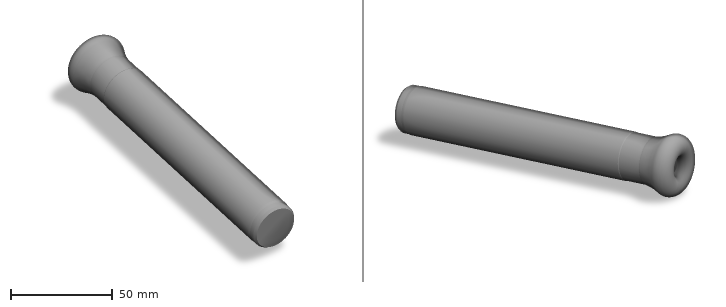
import cadquery as cq
import math

total_length = 160.0
large_radius = 25.0 / 2
small_radius = 24.5 / 2

knob_radius = 16.0
rim_radius = 5.84
rim_center_radius = knob_radius - rim_radius
dimple_floor_radius = rim_center_radius - rim_radius
rim_end = 8.6
flare_end = 17.0

front_taper_end = 18.0
collar_end = 29.6

shaft_taper_end = 30.0
rear_taper_start = 154.2
rear_taper_end = 155.7
end_chamfer_length = 1.5
end_chamfer_depth = 1.0


def revolve_about_x(profile):
    """Turn a closed half profile (X along the axis, Y as radius) into a solid."""
    return profile.revolve(360, (0, 0, 0), (1, 0, 0))


def make_knob():
    """Knob with its dimple, a flare tangent to the rim, and the collar."""
    rim_end_radius = rim_center_radius + math.sqrt(rim_radius**2 - (rim_end - rim_radius) ** 2)
    profile = (
        cq.Workplane("XY")
        .moveTo(rim_radius, 0)
        .lineTo(rim_radius, dimple_floor_radius)
        .threePointArc((0, rim_center_radius), (rim_end, rim_end_radius))
        .tangentArcPoint((flare_end, large_radius), relative=False)
        .lineTo(front_taper_end, small_radius)
        .lineTo(collar_end, small_radius)
        .lineTo(collar_end, 0)
        .close()
    )
    return revolve_about_x(profile)


def make_shaft():
    """Plain round shaft, tapered down and chamfered at its far end."""
    profile = (
        cq.Workplane("XY")
        .moveTo(collar_end, 0)
        .lineTo(collar_end, small_radius)
        .lineTo(shaft_taper_end, large_radius)
        .lineTo(rear_taper_start, large_radius)
        .lineTo(rear_taper_end, small_radius)
        .lineTo(total_length - end_chamfer_length, small_radius)
        .lineTo(total_length, small_radius - end_chamfer_depth)
        .lineTo(total_length, 0)
        .close()
    )
    return revolve_about_x(profile)


knob = make_knob()
shaft = make_shaft()
result = cq.Compound.makeCompound([knob.val(), shaft.val()])